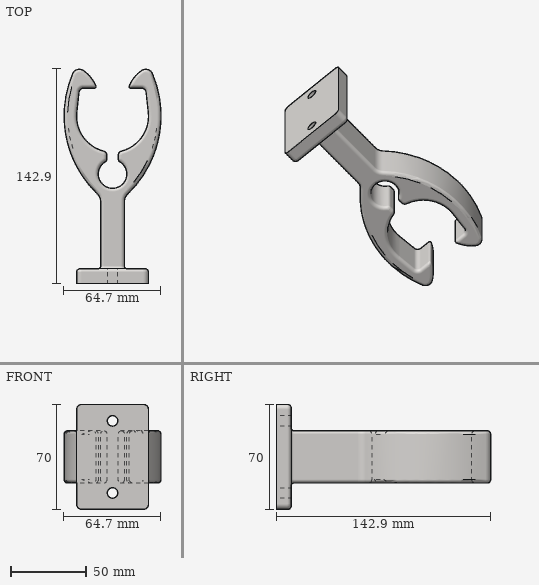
import cadquery as cq
import math

plate_width = 48.0
plate_depth = 10.0
plate_height = 70.0
plate_corner_radius = 3.5
plate_front_round = 2.5
screw_hole_diameter = 6.9
screw_hole_spacing = 48.0

total_length = 142.9
clip_width = 64.7
clip_height = 35.0
clip_edge_round = 2.5
stalk_width = 16.0
stalk_outer_round = 7.1
stalk_base_round = 1.6

flank_radius = 72.0
flank_centre_x = clip_width / 2 - flank_radius
flank_centre_y = 111.7

tip_radius = 4.9
hook_radius = 22.9
hook_join_angle = math.radians(124)
hook_inner_y = 130.2
hook_end_round = 1.1
hook_corner_round = 3.0

bore_radius = 23.9
bore_centre_y = 111.5
wall_lean = math.radians(6.2)

small_bore_radius = 9.5
small_bore_centre_y = 73.0
neck_half_width = 3.7
neck_upper_round = 2.9
neck_lower_round = 2.3


def on_circle(centre, radius, angle):
    return (centre[0] + radius * math.cos(angle), centre[1] + radius * math.sin(angle))


def arc_to(sketch, centre, radius, start_angle, end_angle):
    """Continue the sketch along a circle from its current point at start_angle."""
    middle = on_circle(centre, radius, (start_angle + end_angle) / 2)
    return sketch.threePointArc(middle, on_circle(centre, radius, end_angle))


def round_corner_pair(body, point, radius):
    """Round the upright edge of the profile at the given point, and its mirror image."""
    for side in (1, -1):
        nearest = cq.selectors.NearestToPointSelector((side * point[0], point[1], 0))
        body = body.edges("|Z").edges(nearest).fillet(radius)
    return body


def make_clip_blank():
    """Clip and stalk with rounded profile corners but sharp upper and lower edges."""
    flank_centre = (flank_centre_x, flank_centre_y)
    bore_centre = (0, bore_centre_y)
    small_bore_centre = (0, small_bore_centre_y)

    flank_start_angle = -math.acos((stalk_width / 2 - flank_centre_x) / flank_radius)
    stalk_corner = on_circle(flank_centre, flank_radius, flank_start_angle)

    tip_centre_y = total_length - tip_radius
    tip_angle = math.asin((tip_centre_y - flank_centre_y) / (flank_radius - tip_radius))
    tip_centre = on_circle(flank_centre, flank_radius - tip_radius, tip_angle)

    hook_centre = on_circle(tip_centre, tip_radius - hook_radius, hook_join_angle)
    hook_end_angle = math.pi - math.asin((hook_inner_y - hook_centre[1]) / hook_radius)
    hook_end = on_circle(hook_centre, hook_radius, hook_end_angle)

    wall_start = on_circle(bore_centre, bore_radius, wall_lean)
    wall_rise = hook_inner_y - wall_start[1]
    wall_top = (wall_start[0] - wall_rise * math.tan(wall_lean), hook_inner_y)

    neck_upper_angle = -math.acos(neck_half_width / bore_radius)
    neck_lower_angle = math.acos(neck_half_width / small_bore_radius)
    neck_upper = on_circle(bore_centre, bore_radius, neck_upper_angle)
    neck_lower = on_circle(small_bore_centre, small_bore_radius, neck_lower_angle)

    lower_face = cq.Workplane("XY", origin=(0, 0, -clip_height / 2))
    sketch = lower_face.moveTo(0, plate_depth / 2)
    sketch = sketch.lineTo(stalk_width / 2, plate_depth / 2).lineTo(*stalk_corner)
    sketch = arc_to(sketch, flank_centre, flank_radius, flank_start_angle, tip_angle)
    sketch = arc_to(sketch, tip_centre, tip_radius, tip_angle, hook_join_angle)
    sketch = arc_to(sketch, hook_centre, hook_radius, hook_join_angle, hook_end_angle)
    sketch = sketch.lineTo(*wall_top).lineTo(*wall_start)
    sketch = arc_to(sketch, bore_centre, bore_radius, wall_lean, neck_upper_angle)

    sketch = sketch.lineTo(neck_half_width, small_bore_centre_y).lineTo(*small_bore_centre)
    half = sketch.close().extrude(clip_height)
    blank = half.union(half.mirror("YZ"))
    small_bore = lower_face.center(*small_bore_centre).circle(small_bore_radius).extrude(clip_height)
    blank = blank.cut(small_bore)

    blank = round_corner_pair(blank, stalk_corner, stalk_outer_round)
    blank = round_corner_pair(blank, hook_end, hook_end_round)
    blank = round_corner_pair(blank, wall_top, hook_corner_round)
    blank = round_corner_pair(blank, neck_upper, neck_upper_round)
    return round_corner_pair(blank, neck_lower, neck_lower_round)


def make_clip():
    return make_clip_blank().faces("<Z or >Z").edges("not <Y").fillet(clip_edge_round)


def make_plate():
    plate = cq.Workplane("XZ").rect(plate_width, plate_height).extrude(-plate_depth)
    plate = plate.edges("|Y").fillet(plate_corner_radius)
    return plate.faces(">Y").edges().fillet(plate_front_round)


def drill_screw_holes(body):
    holes = cq.Workplane("XZ").rarray(1.5, screw_hole_spacing, 1, 2)
    return body.cut(holes.circle(screw_hole_diameter / 2).extrude(-plate_depth))


def round_stalk_base(body):
    """Fillet the corner where the stalk meets the front of the plate."""
    stalk_region = cq.selectors.BoxSelector(
        (-stalk_width, plate_depth - stalk_base_round / 2, -clip_height / 2 - stalk_base_round),
        (stalk_width, plate_depth + stalk_base_round / 2, clip_height / 2 + stalk_base_round),
        boundingbox=True,
    )
    return body.edges(stalk_region).fillet(stalk_base_round)


plate_and_clip = make_plate().union(make_clip())
result = drill_screw_holes(round_stalk_base(plate_and_clip))